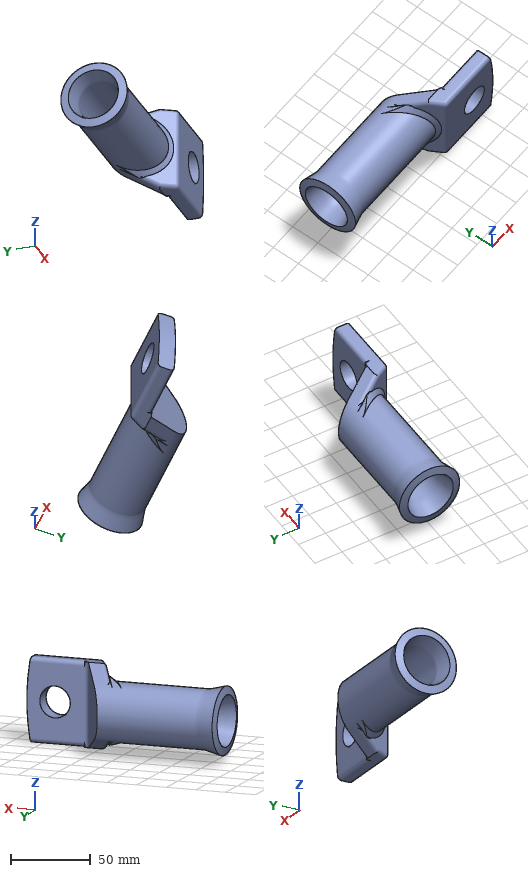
import cadquery as cq
import math

LENGTH = 139.8
PALM_WIDTH = 55.0
THICKNESS = 11.0
PALM_FRONT_Y = -24.2
PALM_BACK_Y = PALM_FRONT_Y + THICKNESS

BARREL_RADIUS = 19.3
WALL = 5.5
BORE_RADIUS = BARREL_RADIUS - WALL
BORE_DEPTH = 69.9

MOUTH_RADIUS = 22.1
MOUTH_BORE_RADIUS = MOUTH_RADIUS - WALL
MOUTH_SETBACK = 1.3
MOUTH_INNER = (0, MOUTH_BORE_RADIUS)
MOUTH_RIM = (MOUTH_SETBACK, MOUTH_RADIUS)
FLARE_SLOPE = 0.25
FLARE_CONE_LENGTH = 9.0
FLARE_BLEND_LENGTH = 3.1

SLOPE = math.radians(60)
SLOPE_TOP_X = 79.7
SHOULDER_TANGENT_Y = 8.4

HOLE_X = 120.8
HOLE_RADIUS = 10.2
END_BULGE = 2.5
EDGE_RADIUS = 3.0
BACK_BEND_RADIUS = 4.2

NECK_TOP_X = 67.5
NECK_LEAD = 2.1
NECK_START_RADIUS = 19.1
NECK_END_RADIUS = 22.4
NECK_OVERLAP = 0.7
SELECT_MARGIN = 0.3


def slope_back_x(y):
    """X of the sloping back face at height y."""
    return SLOPE_TOP_X + (BARREL_RADIUS - y) / math.tan(SLOPE)


def slope_front_x(y):
    """X of the sloping front face at height y."""
    return slope_back_x(y) - THICKNESS / math.sin(SLOPE)


def flared_profile(mouth_points, end_radius, end_x):
    """Half section of a cone that blends tangentially into a cylinder."""
    start_x, start_radius = mouth_points[-1]
    cone_x = start_x + FLARE_CONE_LENGTH
    cone_radius = start_radius - FLARE_SLOPE * FLARE_CONE_LENGTH
    return (
        cq.Workplane("XY")
        .polyline([(0, 0)] + mouth_points)
        .lineTo(cone_x, cone_radius)
        .tangentArcPoint((cone_x + FLARE_BLEND_LENGTH, end_radius), relative=False)
        .lineTo(end_x, end_radius)
        .lineTo(end_x, 0)
        .close()
    )


def revolve_about_x(profile):
    return profile.revolve(360, (0, 0, 0), (1, 0, 0))


def make_barrel():
    """Solid flared barrel cut off by the sloping back face."""
    barrel = revolve_about_x(
        flared_profile([MOUTH_INNER, MOUTH_RIM], BARREL_RADIUS, slope_back_x(-BARREL_RADIUS))
    )
    behind_slope = (
        cq.Workplane("XY")
        .polyline([
            (slope_back_x(MOUTH_RADIUS), MOUTH_RADIUS),
            (LENGTH, MOUTH_RADIUS),
            (LENGTH, PALM_BACK_Y),
            (slope_back_x(PALM_BACK_Y), PALM_BACK_Y),
        ])
        .close()
        .extrude(PALM_WIDTH / 2, both=True)
    )
    below_palm_back = (
        cq.Workplane("XY")
        .polyline([
            (slope_back_x(PALM_BACK_Y), PALM_BACK_Y),
            (LENGTH, PALM_BACK_Y),
            (LENGTH, -MOUTH_RADIUS),
            (slope_front_x(-MOUTH_RADIUS), -MOUTH_RADIUS),
            (slope_front_x(PALM_BACK_Y), PALM_BACK_Y),
        ])
        .close()
        .extrude(PALM_WIDTH / 2, both=True)
    )
    return barrel.cut(behind_slope).cut(below_palm_back)


def make_shoulders():
    """Envelope whose tapered sides are tangent to the barrel."""
    half_width = PALM_WIDTH / 2
    tangent_angle = math.asin(SHOULDER_TANGENT_Y / BARREL_RADIUS)
    tangent_z = BARREL_RADIUS * math.cos(tangent_angle)
    shoulder_y = (BARREL_RADIUS - half_width * math.cos(tangent_angle)) / math.sin(tangent_angle)
    return (
        cq.Workplane("YZ")
        .polyline([
            (PALM_FRONT_Y, -half_width),
            (shoulder_y, -half_width),
            (SHOULDER_TANGENT_Y, -tangent_z),
            (SHOULDER_TANGENT_Y, tangent_z),
            (shoulder_y, half_width),
            (PALM_FRONT_Y, half_width),
        ])
        .close()
        .extrude(LENGTH)
    )


def make_bent_plate():
    """Palm and web as one bent plate with shoulders tangent to the barrel."""
    plate = (
        cq.Workplane("XY")
        .polyline([
            (slope_front_x(SHOULDER_TANGENT_Y), SHOULDER_TANGENT_Y),
            (slope_back_x(SHOULDER_TANGENT_Y), SHOULDER_TANGENT_Y),
            (slope_back_x(PALM_BACK_Y), PALM_BACK_Y),
            (LENGTH, PALM_BACK_Y),
            (LENGTH, PALM_FRONT_Y),
            (slope_front_x(PALM_FRONT_Y), PALM_FRONT_Y),
        ])
        .close()
        .extrude(PALM_WIDTH / 2, both=True)
    )
    half_width = PALM_WIDTH / 2
    rounded_end = (
        cq.Workplane("XZ", origin=(0, SHOULDER_TANGENT_Y, 0))
        .moveTo(0, -half_width)
        .lineTo(LENGTH - END_BULGE, -half_width)
        .threePointArc((LENGTH, 0), (LENGTH - END_BULGE, half_width))
        .lineTo(0, half_width)
        .close()
        .extrude(SHOULDER_TANGENT_Y - PALM_FRONT_Y)
    )
    return plate.intersect(make_shoulders()).intersect(rounded_end)


def bend_selector(x, y):
    """Picks the bend edge that runs along Z through (x, y)."""
    return cq.selectors.BoxSelector(
        (x - SELECT_MARGIN, y - SELECT_MARGIN, -PALM_WIDTH),
        (x + SELECT_MARGIN, y + SELECT_MARGIN, PALM_WIDTH),
    )


def round_plate(plate):
    """Rounds the front bend, the front rim and the back bend."""
    front_faces = plate.faces("<Y").add(plate.faces(cq.selectors.DirectionMinMaxSelector(
        cq.Vector(-math.sin(SLOPE), -math.cos(SLOPE), 0))))
    tip_x = LENGTH - END_BULGE - SELECT_MARGIN
    rim = [
        edge for edge in front_faces.edges().vals()
        if edge.Center().x < tip_x and edge.Center().y < SHOULDER_TANGENT_Y - SELECT_MARGIN
    ]
    plate = plate.newObject(rim).fillet(EDGE_RADIUS)
    plate = plate.edges(bend_selector(slope_back_x(PALM_BACK_Y), PALM_BACK_Y)).fillet(BACK_BEND_RADIUS)
    return plate.cut(back_edge_waste(1)).cut(back_edge_waste(-1))


def back_edge_waste(side):
    """Material outside the rounded back edge of the palm, on the +Z or -Z side."""
    corner_z = side * PALM_WIDTH / 2
    start_x = slope_back_x(PALM_BACK_Y) + BACK_BEND_RADIUS * math.tan(SLOPE / 2)
    inset_y = PALM_BACK_Y - EDGE_RADIUS
    inset_z = corner_z - side * EDGE_RADIUS
    mid = EDGE_RADIUS * math.sqrt(0.5)
    return (
        cq.Workplane("YZ", origin=(start_x, 0, 0))
        .moveTo(PALM_BACK_Y, corner_z)
        .lineTo(PALM_BACK_Y, inset_z)
        .threePointArc((inset_y + mid, inset_z + side * mid), (inset_y, corner_z))
        .close()
        .extrude(LENGTH)
    )


def oblique_ring(start_x, end_x, radius):
    """Slanted ellipse that looks like a circle about the barrel axis when seen along X.

    The slant runs from start_x at the shoulder tangent height to end_x at the barrel bottom.
    """
    run = end_x - start_x
    drop = SHOULDER_TANGENT_Y + BARREL_RADIUS
    center_x = start_x + run * SHOULDER_TANGENT_Y / drop
    major_radius = radius * math.hypot(run, drop) / drop
    return cq.Wire.makeEllipse(
        major_radius,
        radius,
        cq.Vector(center_x, 0, 0),
        cq.Vector(drop, run, 0),
        cq.Vector(run, -drop, 0),
    )


def make_neck():
    """Tapered collar that blends the barrel into the front of the web and its shoulders."""
    barrel_ring = oblique_ring(NECK_TOP_X, slope_front_x(-BARREL_RADIUS) - NECK_LEAD, NECK_START_RADIUS)
    web_ring = oblique_ring(
        slope_front_x(SHOULDER_TANGENT_Y) + NECK_OVERLAP,
        slope_front_x(-BARREL_RADIUS) + NECK_OVERLAP,
        NECK_END_RADIUS,
    )
    collar = cq.Workplane(cq.Solid.makeLoft([barrel_ring, web_ring], True))
    return collar.intersect(make_shoulders())


body = round_plate(make_bent_plate()).union(make_barrel()).union(make_neck())
bore = revolve_about_x(flared_profile([MOUTH_INNER], BORE_RADIUS, BORE_DEPTH))
hole = (
    cq.Workplane("XZ")
    .center(HOLE_X, 0)
    .circle(HOLE_RADIUS)
    .extrude(-PALM_FRONT_Y)
)
result = body.cut(bore).cut(hole)